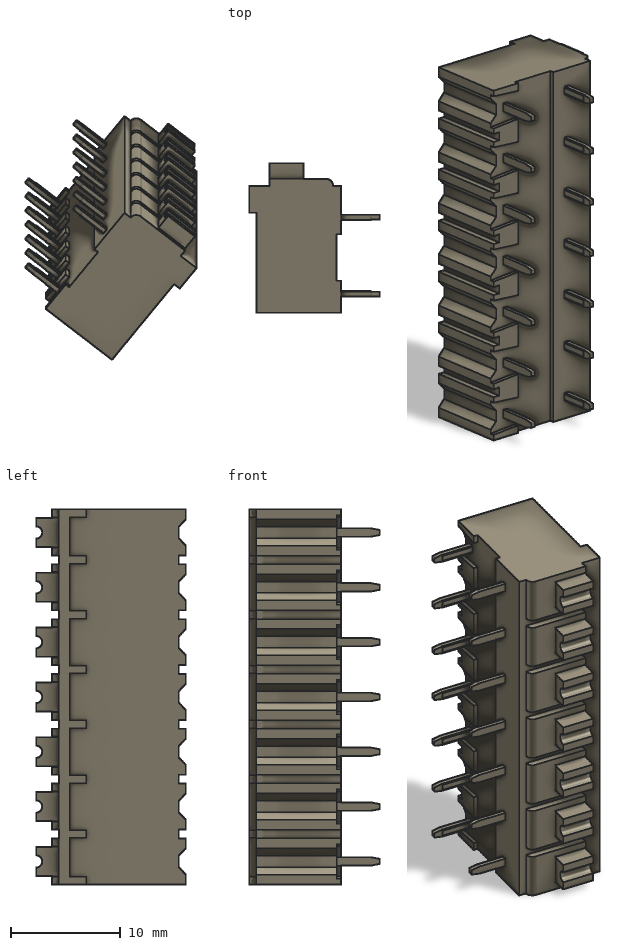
import cadquery as cq
import math

HEIGHT = 34.2
POLE_COUNT = 7
POLE_PITCH = 5.0
POLE_GAP = 0.8
POLE_CENTRES = [(i - (POLE_COUNT - 1) / 2) * POLE_PITCH for i in range(POLE_COUNT)]
GAP_CENTRES = [(i - POLE_COUNT / 2 + 1) * POLE_PITCH for i in range(POLE_COUNT - 1)]

DEPTH = 13.65
FRONT = -DEPTH
FOOT_X = 8.38
RIM_THICKNESS = 0.65
RIM_TOP = -2.1
RIM_BOTTOM = -3.08
TOOTH_BOTTOM = -4.55
TOOTH_WIDTH = 0.72
CREST_TOP = -1.45
CREST_LEFT = 1.85
CREST_RIGHT = 7.65
CREST_RADIUS = CREST_TOP - RIM_TOP

RECESS_DEPTH = 0.4
RECESS_TOP = -6.5
RECESS_BOTTOM = -10.7

GROOVE_DEPTH = 0.65
GROOVE_FLOOR_HALF = 0.5
GROOVE_MOUTH_HALF = 1.2

NOTCH_MOUTH_HALF = 1.57
NOTCH_INNER_HALF = 1.37

LATCH_LENGTH = 3.1
LATCH_X = (CREST_LEFT, CREST_LEFT + LATCH_LENGTH)
LATCH_HALF_WIDTH = 1.35
LATCH_CLEARANCE = 0.07
THUMB_RADIUS = 0.55

PIN_WIDTH = 0.8
PIN_THICKNESS = 0.45
PIN_TIP_X = 11.9
PIN_TAPER_LENGTH = 0.82
PIN_TAPER_X = PIN_TIP_X - PIN_TAPER_LENGTH
PIN_ROOT_X = FOOT_X - RECESS_DEPTH
PIN_EMBED = 0.35
PIN_TIP_WIDTH = 0.48
PIN_TIP_RADIUS = 0.1
PAD_THICKNESS = 0.07
PAD_WIDTH = 0.58
UPPER_PIN_Y = -4.92
LOWER_PIN_Y = -11.95


def box(x, y, z):
    """Box spanning the three (low, high) ranges."""
    size = (x[1] - x[0], y[1] - y[0], z[1] - z[0])
    return cq.Workplane("XY").box(*size, centered=False).translate((x[0], y[0], z[0]))


def span(centre, half):
    """Range reaching half to either side of a centre."""
    return (centre - half, centre + half)


def housing():
    """Constant cross-section along Z."""
    inner_x = FOOT_X - RECESS_DEPTH
    corner = CREST_RADIUS * math.sqrt(0.5)
    arc_x = CREST_RIGHT - CREST_RADIUS
    arc_y = CREST_TOP - CREST_RADIUS
    return (
        cq.Workplane("XY", origin=(0, 0, -HEIGHT / 2))
        .moveTo(0, RIM_TOP)
        .lineTo(CREST_LEFT, RIM_TOP)
        .lineTo(CREST_LEFT, CREST_TOP)
        .lineTo(arc_x, CREST_TOP)
        .threePointArc((arc_x + corner, arc_y + corner), (CREST_RIGHT, arc_y))
        .lineTo(FOOT_X, RIM_TOP)
        .lineTo(FOOT_X, RECESS_TOP)
        .lineTo(inner_x, RECESS_TOP)
        .lineTo(inner_x, RECESS_BOTTOM)
        .lineTo(FOOT_X, RECESS_BOTTOM)
        .lineTo(FOOT_X, FRONT)
        .lineTo(RIM_THICKNESS, FRONT)
        .lineTo(RIM_THICKNESS, RIM_BOTTOM)
        .lineTo(0, RIM_BOTTOM)
        .close()
        .extrude(HEIGHT)
    )


def trapezoid_cut(z, mouth_half, inner_half, depth, x):
    """Cut from the -Y face, narrowing with depth and running over the X range."""
    return (
        cq.Workplane("YZ", origin=(x[0], FRONT, z))
        .polyline([(0, -mouth_half), (0, mouth_half), (depth, inner_half), (depth, -inner_half)])
        .close()
        .extrude(x[1] - x[0])
    )


def tooth(z):
    """Tooth hanging from the rim on the -X face."""
    return box((0, RIM_THICKNESS), (TOOTH_BOTTOM, RIM_BOTTOM), span(z, TOOTH_WIDTH / 2))


def pole_gap(z):
    """Slots that separate neighbouring poles on the -Y face and on the crest."""
    width = span(z, POLE_GAP / 2)
    front_slot = box((0, FOOT_X), (FRONT, FRONT + GROOVE_DEPTH), width)
    crest_slot = box((0, FOOT_X), (RIM_TOP, 0), width)
    return front_slot.union(crest_slot)


def latch(z):
    """Latch block with a rounded thumb groove along X in its top."""
    block = box(LATCH_X, (RIM_TOP, 0), span(z, LATCH_HALF_WIDTH))
    groove = cq.Workplane("YZ", origin=(CREST_LEFT, 0, z)).circle(THUMB_RADIUS).extrude(LATCH_LENGTH)
    return block.cut(groove)


def latch_pocket(z):
    """Room in the crest for the latch and its side clearance."""
    return box(LATCH_X, (RIM_TOP, CREST_TOP), span(z, LATCH_HALF_WIDTH + LATCH_CLEARANCE))


def pin(y, z, pad_side):
    """Flat pin along X with a tapered, rounded tip; pad_side (+1 or -1) is the Y side of its pad."""
    start = PIN_ROOT_X - PIN_EMBED
    half = PIN_WIDTH / 2
    tip = PIN_TIP_WIDTH / 2
    blade = (
        cq.Workplane("XZ", origin=(0, y + PIN_THICKNESS / 2, z))
        .moveTo(start, -half)
        .lineTo(PIN_TAPER_X, -half)
        .lineTo(PIN_TIP_X, -tip)
        .lineTo(PIN_TIP_X, tip)
        .lineTo(PIN_TAPER_X, half)
        .lineTo(start, half)
        .close()
        .extrude(PIN_THICKNESS)
        .edges("|Y and >X")
        .fillet(PIN_TIP_RADIUS)
    )
    pad_y = y + pad_side * (PIN_THICKNESS + PAD_THICKNESS) / 2
    pad = box((start, PIN_TAPER_X), span(pad_y, PAD_THICKNESS / 2), span(z, PAD_WIDTH / 2))
    return blade.union(pad)


def cut_pole(body, z):
    """Groove, pin notch and latch pocket of one pole."""
    groove = trapezoid_cut(z, GROOVE_MOUTH_HALF, GROOVE_FLOOR_HALF, GROOVE_DEPTH, (0, FOOT_X))
    foot_depth = RECESS_BOTTOM - FRONT
    notch = trapezoid_cut(z, NOTCH_MOUTH_HALF, NOTCH_INNER_HALF, foot_depth, (PIN_ROOT_X, FOOT_X))
    return body.cut(groove).cut(notch).cut(latch_pocket(z))


result = housing()

end_tooth = (HEIGHT - TOOTH_WIDTH) / 2
for z in [-end_tooth, *GAP_CENTRES, end_tooth]:
    result = result.union(tooth(z))

for z in GAP_CENTRES:
    result = result.cut(pole_gap(z))

for z in POLE_CENTRES:
    result = cut_pole(result, z)
    result = result.union(latch(z))
    result = result.union(pin(UPPER_PIN_Y, z, -1))
    result = result.union(pin(LOWER_PIN_Y, z, 1))